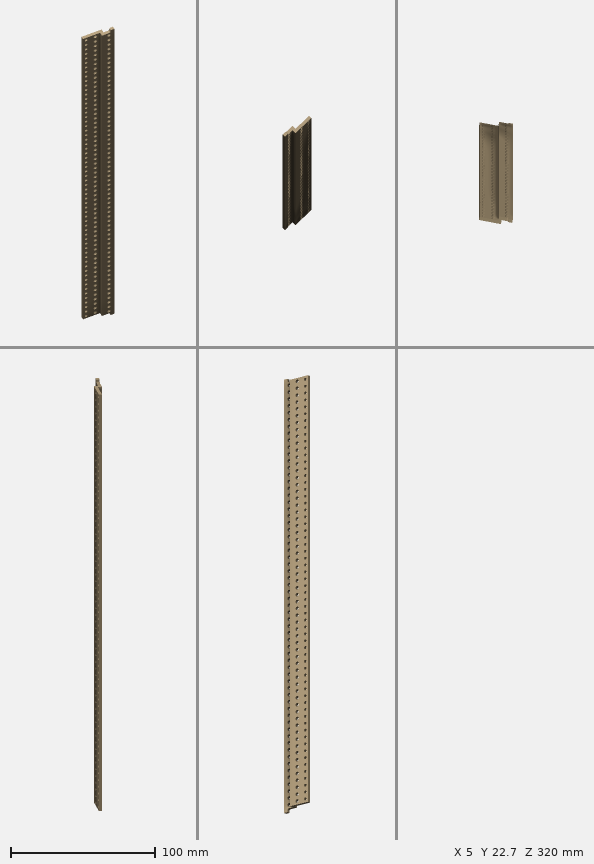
import cadquery as cq

length = 320.0
width = 22.7
depth = 5.0

thickness = 2.2
rear_strip_width = 9.5
front_strip_width = width - rear_strip_width + thickness

lip_width = 3.0
lip_overhang = 2.5
lip_fillet = 1.3
body_length = length - 2 * lip_overhang

row_count = 62
row_end_margin = 2.5
row_pitch = (body_length - 2 * row_end_margin) / (row_count - 1)
edge_hole_diameter = 2.1
main_hole_diameter = 2.6
edge_hole_y = 2.43
middle_hole_offset = 7.0
middle_hole_y = edge_hole_y + middle_hole_offset
rear_hole_inset = 4.2
rear_hole_y = width - rear_hole_inset


def make_body():
    """Z section extruded along the length, without the lip overhang."""
    rear_strip_start = width - rear_strip_width
    section = [
        (0, 0),
        (thickness, 0),
        (thickness, rear_strip_start),
        (depth, rear_strip_start),
        (depth, width),
        (depth - thickness, width),
        (depth - thickness, front_strip_width),
        (0, front_strip_width),
    ]
    return cq.Workplane("XY").polyline(section).close().extrude(body_length / 2, both=True)


def make_lip():
    """Full-length lip with concave fillets where it steps down to the body ends."""
    half_length = length / 2
    half_body = body_length / 2
    inner_edge = width - lip_width
    fillet_start = inner_edge - lip_fillet
    fillet_end = half_body + lip_fillet
    return (
        cq.Workplane("YZ", origin=(depth - thickness, 0, 0))
        .moveTo(width, -half_length)
        .lineTo(width, half_length)
        .lineTo(inner_edge, half_length)
        .lineTo(inner_edge, fillet_end)
        .radiusArc((fillet_start, half_body), lip_fillet)
        .lineTo(fillet_start, -half_body)
        .radiusArc((inner_edge, -fillet_end), lip_fillet)
        .lineTo(inner_edge, -half_length)
        .close()
        .extrude(thickness)
    )


def hole_column(y, diameter):
    """Through-hole cutters for one column of holes running along Z."""
    return (
        cq.Workplane("YZ")
        .center(y, 0)
        .rarray(3.2, row_pitch, 1, row_count)
        .circle(diameter / 2)
        .extrude(depth)
    )


result = make_body().union(make_lip())
for hole_y, hole_diameter in (
    (edge_hole_y, edge_hole_diameter),
    (middle_hole_y, main_hole_diameter),
    (rear_hole_y, main_hole_diameter),
):
    result = result.cut(hole_column(hole_y, hole_diameter))